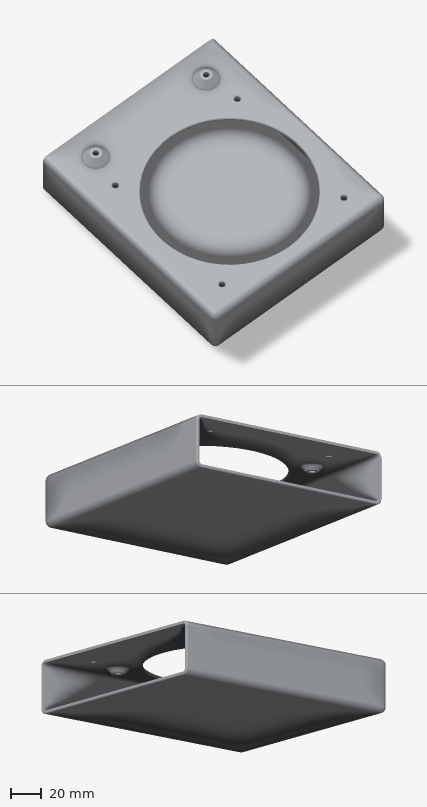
import cadquery as cq

length = 170.0
width = 148.0
overall_height = 41.0
body_height = 36.0
wall = 2.0
outer_radius = 4.0
inner_radius = outer_radius - wall
edge_break = 0.5

fan_x = 15.0
fan_diameter = 116.6
fan_hole_pitch = 105.0
screw_diameter = 4.2

boss_tip_diameter = 8.5
top_boss_height = overall_height - body_height
top_boss_x = -62.7
top_boss_spacing = 95.2
inner_boss_height = 3.4

ceiling_z = body_height - wall
fan_hole_points = [
    (fan_x + side_x * fan_hole_pitch / 2, side_y * fan_hole_pitch / 2)
    for side_x in (-1, 1)
    for side_y in (-1, 1)
]
top_boss_points = [(top_boss_x, side * top_boss_spacing / 2) for side in (-1, 1)]


def make_shell():
    """Rounded box hollowed out from its open -X end."""
    outside = (
        cq.Workplane("XY")
        .box(length, width, body_height, centered=(True, True, False))
        .edges("|X or >X")
        .fillet(outer_radius)
        .faces("<X")
        .edges()
        .chamfer(edge_break)
    )
    cavity = (
        cq.Workplane("XY")
        .box(length - wall, width - 2 * wall, body_height - 2 * wall, centered=(True, True, False))
        .translate((-wall / 2, 0, wall))
        .edges("|X or (>X and |Y)")
        .fillet(inner_radius)
    )
    return outside.cut(cavity)


def make_boss(point, base_z, height, direction):
    """Cone frustum standing on a lid face; direction is +1 for up, -1 for down."""
    tip_radius = boss_tip_diameter / 2
    root_radius = tip_radius + height
    axis = cq.Vector(0, 0, direction)
    cone = cq.Solid.makeCone(root_radius, tip_radius, height, cq.Vector(*point, base_z), axis)
    return cq.Workplane(cone)


def make_lid_hole(point, diameter):
    """Cutter through the lid and any boss on it, starting in the cavity."""
    bottom_z = body_height / 2
    return (
        cq.Workplane("XY", origin=(*point, bottom_z))
        .circle(diameter / 2)
        .extrude(overall_height - bottom_z)
    )


def make_edge_break(point, diameter):
    """Cutter that chamfers the top rim of a hole in the lid."""
    radius = diameter / 2
    top = cq.Vector(*point, body_height)
    cone = cq.Solid.makeCone(radius + edge_break, radius, edge_break, top, cq.Vector(0, 0, -1))
    return cq.Workplane(cone)


result = make_shell()

for boss_point in top_boss_points:
    result = result.union(make_boss(boss_point, body_height, top_boss_height, 1))
    result = result.cut(make_lid_hole(boss_point, screw_diameter))

for hole_point in fan_hole_points:
    result = result.union(make_boss(hole_point, ceiling_z, inner_boss_height, -1))
    result = result.cut(make_lid_hole(hole_point, screw_diameter))
    result = result.cut(make_edge_break(hole_point, screw_diameter))

result = result.cut(make_lid_hole((fan_x, 0), fan_diameter))
result = result.cut(make_edge_break((fan_x, 0), fan_diameter))